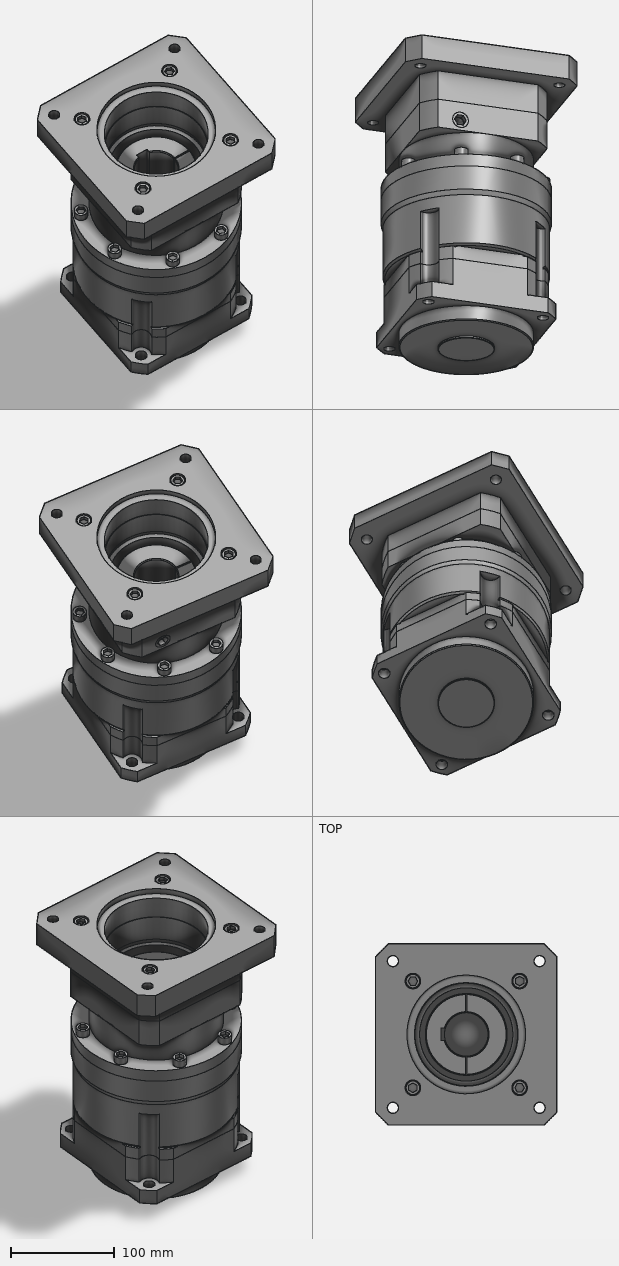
import cadquery as cq
import math


SHAFT_STICKOUT = 2.0
PILOT_HEIGHT = 15.0
FOOT_THICKNESS = 16.0
OUTPUT_JOINT_Z = 60.5
CORNER_LEDGE_Z = 73.5
RING_BOTTOM_Z = 74.5
SLOT_TOP_Z = 115.5
TAPER_BOTTOM_Z = 127.5
TAPER_TOP_Z = 132.5
INPUT_JOINT_Z = 157.0
INPUT_FLANGE_TOP_Z = 169.5
INPUT_NECK_TOP_Z = 200.0
SPACER_HEIGHT = 30.0
MOTOR_PLATE_THICKNESS = 25.0
TOTAL_HEIGHT = 284.5

PILOT_BOTTOM_Z = SHAFT_STICKOUT
FOOT_BOTTOM_Z = PILOT_BOTTOM_Z + PILOT_HEIGHT
FOOT_TOP_Z = FOOT_BOTTOM_Z + FOOT_THICKNESS
MOTOR_PLATE_BOTTOM_Z = TOTAL_HEIGHT - MOTOR_PLATE_THICKNESS
SPACER_BOTTOM_Z = MOTOR_PLATE_BOTTOM_Z - SPACER_HEIGHT

SHAFT_DIAMETER = 54.5
SHAFT_CHAMFER = 0.5
PILOT_DIAMETER = 130.0
PILOT_CHAMFER = 1.0
FOOT_WIDTH = 142.0
FOOT_CORNER_DIAMETER = 185.0
BODY_CORNER_DIAMETER = 161.0
FOOT_HOLE_CIRCLE = 165.0
FOOT_HOLE_DIAMETER = 11.0
SLOT_RADIUS = 10.0
SLOT_FLARE_ANGLE = 27.0

GEAR_RING_DIAMETER = 161.0
GEAR_RING_CHAMFER = 2.0
INPUT_FLANGE_DIAMETER = 164.5

BLOCK_WIDTH = 130.0
BLOCK_CORNER_DIAMETER = 165.0
INPUT_NECK_DIAMETER = 130.0
SPACER_BORE_DIAMETER = 99.0
INPUT_RECESS_DEPTH = 3.5
CAVITY_DIAMETER = 90.0
CAVITY_FLOOR_Z = INPUT_FLANGE_TOP_Z

SCREW_HEAD_DIAMETER = 13.0
SCREW_HEAD_HEIGHT = 8.0
SCREW_HEX_ACROSS_FLATS = 8.0
SCREW_HEX_DEPTH = 4.0
SCREW_HEX_ANGLE = 45.0
FLANGE_SCREW_COUNT = 8
FLANGE_SCREW_CIRCLE = 148.5

MOTOR_PLATE_WIDTH = 175.0
MOTOR_PLATE_CHAMFER = 12.5
MOTOR_HOLE_CIRCLE = 200.0
MOTOR_HOLE_DIAMETER = 10.5
MOTOR_PILOT_DIAMETER = 114.5
MOTOR_PILOT_DEPTH = 6.0
MOTOR_BORE_DIAMETER = 100.0
SPIGOT_DIAMETER = 110.0
SPIGOT_LENGTH = 3.5
PLATE_SCREW_CIRCLE = 145.5
COUNTERBORE_DIAMETER = 15.0
COUNTERBORE_DEPTH = 9.0

HUB_DIAMETER = 79.0
HUB_CHAMFER = 1.0
HUB_TOP_Z = 222.5
HUB_BORE_DIAMETER = 42.0
HUB_BORE_CHAMFER = 1.0
HUB_FLOOR_THICKNESS = 5.0
HUB_SLIT_WIDTH = 1.5
HUB_SLIT_DEPTH = 30.0
KEYWAY_WIDTH = 12.0
KEYWAY_REACH = 24.3
KEYWAY_DEPTH = 40.0

PLUG_DIAMETER = 16.0
PLUG_LENGTH = 12.0
PLUG_Y = 28.0
PLUG_Z = 211.0
PLUG_HEX_ACROSS_FLATS = 10.0
PLUG_HEX_DEPTH = 6.0
PLUG_CONE_DEPTH = 3.0

CORNER_ANGLES = (45, 135, 225, 315)


def cylinder(diameter, bottom_z, top_z):
    return cq.Workplane("XY").workplane(offset=bottom_z).circle(diameter / 2).extrude(top_z - bottom_z)


def square_block(width, bottom_z, top_z):
    return cq.Workplane("XY").workplane(offset=bottom_z).rect(width, width).extrude(top_z - bottom_z)


def turned_block(width, corner_diameter, bottom_z, top_z):
    """Square block whose corners are turned down to a cylinder."""
    return square_block(width, bottom_z, top_z).intersect(cylinder(corner_diameter, bottom_z, top_z))


def on_circle(shape, circle_diameter, angle):
    """Move a shape standing on the axis out along X, then swing it about the axis."""
    return shape.translate((circle_diameter / 2, 0, 0)).rotate((0, 0, 0), (0, 0, 1), angle)


def hexagon(across_flats, bottom_z, depth):
    across_corners = across_flats / math.cos(math.pi / 6)
    return cq.Workplane("XY").workplane(offset=bottom_z).polygon(6, across_corners).extrude(depth)


def screw_head(seat_z):
    top_z = seat_z + SCREW_HEAD_HEIGHT
    socket = hexagon(SCREW_HEX_ACROSS_FLATS, top_z - SCREW_HEX_DEPTH, SCREW_HEX_DEPTH)
    socket = socket.rotate((0, 0, 0), (0, 0, 1), SCREW_HEX_ANGLE)
    return cylinder(SCREW_HEAD_DIAMETER, seat_z, top_z).cut(socket)


def cut_corner_slots(body):
    """Open a vertical slot around each foot hole axis: a round back with side walls flaring outwards."""
    flare = math.radians(SLOT_FLARE_ANGLE)
    tangent_x = -SLOT_RADIUS * math.sin(flare)
    tangent_y = SLOT_RADIUS * math.cos(flare)
    mouth_x = SLOT_RADIUS
    mouth_y = tangent_y + (mouth_x - tangent_x) * math.tan(flare)
    slot = (
        cq.Workplane("XY").workplane(offset=FOOT_TOP_Z)
        .moveTo(mouth_x, -mouth_y)
        .lineTo(tangent_x, -tangent_y)
        .threePointArc((-SLOT_RADIUS, 0), (tangent_x, tangent_y))
        .lineTo(mouth_x, mouth_y)
        .close()
        .extrude(SLOT_TOP_Z - FOOT_TOP_Z)
    )
    for angle in CORNER_ANGLES:
        body = body.cut(on_circle(slot, FOOT_HOLE_CIRCLE, angle))
    return body


def make_output_shaft():
    shaft = cylinder(SHAFT_DIAMETER, 0, OUTPUT_JOINT_Z)
    return shaft.faces("<Z").chamfer(SHAFT_CHAMFER)


def make_output_housing():
    pilot = cylinder(PILOT_DIAMETER, PILOT_BOTTOM_Z, FOOT_BOTTOM_Z).faces("<Z").chamfer(PILOT_CHAMFER)
    foot = turned_block(FOOT_WIDTH, FOOT_CORNER_DIAMETER, FOOT_BOTTOM_Z, FOOT_TOP_Z)
    hole = cylinder(FOOT_HOLE_DIAMETER, FOOT_BOTTOM_Z, FOOT_TOP_Z)
    for angle in CORNER_ANGLES:
        foot = foot.cut(on_circle(hole, FOOT_HOLE_CIRCLE, angle))
    body = turned_block(FOOT_WIDTH, BODY_CORNER_DIAMETER, FOOT_TOP_Z, OUTPUT_JOINT_Z)
    housing = pilot.union(foot).union(cut_corner_slots(body))
    return housing.cut(cylinder(SHAFT_DIAMETER, 0, OUTPUT_JOINT_Z))


def make_gear_ring():
    square_end = turned_block(FOOT_WIDTH, BODY_CORNER_DIAMETER, OUTPUT_JOINT_Z, CORNER_LEDGE_Z)
    ring_radius = GEAR_RING_DIAMETER / 2
    flange_radius = INPUT_FLANGE_DIAMETER / 2
    neck = turned_block(
        FOOT_WIDTH, GEAR_RING_DIAMETER - 2 * GEAR_RING_CHAMFER, CORNER_LEDGE_Z, RING_BOTTOM_Z
    )
    round_body = (
        cq.Workplane("XZ")
        .moveTo(0, RING_BOTTOM_Z)
        .lineTo(ring_radius - GEAR_RING_CHAMFER, RING_BOTTOM_Z)
        .lineTo(ring_radius, RING_BOTTOM_Z + GEAR_RING_CHAMFER)
        .lineTo(ring_radius, TAPER_BOTTOM_Z)
        .lineTo(flange_radius, TAPER_TOP_Z)
        .lineTo(flange_radius, INPUT_JOINT_Z)
        .lineTo(0, INPUT_JOINT_Z)
        .close()
        .revolve(360, (0, 0, 0), (0, 1, 0))
    )
    return cut_corner_slots(round_body.union(neck).union(square_end))


def make_plug():
    """Round plug lying along X, flush with the -X side, with a hex socket ending in a drill cone."""
    blank = cylinder(PLUG_DIAMETER, 0, PLUG_LENGTH)
    socket = hexagon(PLUG_HEX_ACROSS_FLATS, 0, PLUG_HEX_DEPTH)
    cone = cq.Workplane(cq.Solid.makeCone(
        PLUG_HEX_ACROSS_FLATS / 2, 0, PLUG_CONE_DEPTH, cq.Vector(0, 0, PLUG_HEX_DEPTH)
    ))
    plug = blank.cut(socket).cut(cone)
    plug = plug.rotate((0, 0, 0), (0, 0, 1), 90).rotate((0, 0, 0), (0, 1, 0), 90)
    return plug.translate((-BLOCK_WIDTH / 2, PLUG_Y, PLUG_Z))


def make_input_housing():
    housing = cylinder(INPUT_FLANGE_DIAMETER, INPUT_JOINT_Z, INPUT_FLANGE_TOP_Z)
    housing = housing.union(cylinder(INPUT_NECK_DIAMETER, INPUT_FLANGE_TOP_Z, INPUT_NECK_TOP_Z))
    block = turned_block(BLOCK_WIDTH, BLOCK_CORNER_DIAMETER, INPUT_NECK_TOP_Z, SPACER_BOTTOM_Z)
    housing = housing.union(block)
    for index in range(FLANGE_SCREW_COUNT):
        angle = (index + 0.5) * 360 / FLANGE_SCREW_COUNT
        housing = housing.union(on_circle(screw_head(INPUT_FLANGE_TOP_Z), FLANGE_SCREW_CIRCLE, angle))
    recess = cylinder(SPACER_BORE_DIAMETER, SPACER_BOTTOM_Z - INPUT_RECESS_DEPTH, SPACER_BOTTOM_Z)
    cavity = cylinder(CAVITY_DIAMETER, CAVITY_FLOOR_Z, SPACER_BOTTOM_Z)
    plug_hole = (
        cq.Workplane("YZ").workplane(offset=-BLOCK_WIDTH / 2)
        .center(PLUG_Y, PLUG_Z).circle(PLUG_DIAMETER / 2).extrude(PLUG_LENGTH)
    )
    return housing.cut(recess).cut(cavity).cut(plug_hole)


def make_clamp_hub():
    hub = cylinder(HUB_DIAMETER, CAVITY_FLOOR_Z, HUB_TOP_Z).faces(">Z").chamfer(HUB_CHAMFER)
    bore = cylinder(HUB_BORE_DIAMETER, CAVITY_FLOOR_Z + HUB_FLOOR_THICKNESS, HUB_TOP_Z)
    bore_chamfer = cq.Workplane(cq.Solid.makeCone(
        HUB_BORE_DIAMETER / 2, HUB_BORE_DIAMETER / 2 + HUB_BORE_CHAMFER, HUB_BORE_CHAMFER,
        cq.Vector(0, 0, HUB_TOP_Z - HUB_BORE_CHAMFER),
    ))
    slit = (
        cq.Workplane("XY").workplane(offset=HUB_TOP_Z)
        .rect(HUB_SLIT_WIDTH, HUB_DIAMETER).extrude(-HUB_SLIT_DEPTH)
    )
    keyway = (
        cq.Workplane("XY").workplane(offset=HUB_TOP_Z)
        .center(-KEYWAY_REACH / 2, 0).rect(KEYWAY_REACH, KEYWAY_WIDTH).extrude(-KEYWAY_DEPTH)
    )
    return hub.cut(bore).cut(bore_chamfer).cut(slit).cut(keyway)


def spigot_disc():
    """Disc that centres the motor plate in the spacer, also used to cut its recess."""
    return cylinder(SPIGOT_DIAMETER, MOTOR_PLATE_BOTTOM_Z - SPIGOT_LENGTH, MOTOR_PLATE_BOTTOM_Z)


def make_spacer():
    spacer = turned_block(BLOCK_WIDTH, BLOCK_CORNER_DIAMETER, SPACER_BOTTOM_Z, MOTOR_PLATE_BOTTOM_Z)
    spacer = spacer.cut(cylinder(SPACER_BORE_DIAMETER, SPACER_BOTTOM_Z, MOTOR_PLATE_BOTTOM_Z))
    return spacer.cut(spigot_disc())


def make_motor_plate():
    plate = square_block(MOTOR_PLATE_WIDTH, MOTOR_PLATE_BOTTOM_Z, TOTAL_HEIGHT)
    plate = plate.edges("|Z").chamfer(MOTOR_PLATE_CHAMFER).union(spigot_disc())
    plate = plate.cut(cylinder(MOTOR_BORE_DIAMETER, MOTOR_PLATE_BOTTOM_Z - SPIGOT_LENGTH, TOTAL_HEIGHT))
    plate = plate.cut(cylinder(MOTOR_PILOT_DIAMETER, TOTAL_HEIGHT - MOTOR_PILOT_DEPTH, TOTAL_HEIGHT))
    seat_z = TOTAL_HEIGHT - COUNTERBORE_DEPTH
    hole = cylinder(MOTOR_HOLE_DIAMETER, MOTOR_PLATE_BOTTOM_Z, TOTAL_HEIGHT)
    counterbore = cylinder(COUNTERBORE_DIAMETER, seat_z, TOTAL_HEIGHT)
    for angle in CORNER_ANGLES:
        plate = plate.cut(on_circle(hole, MOTOR_HOLE_CIRCLE, angle))
        plate = plate.cut(on_circle(counterbore, PLATE_SCREW_CIRCLE, angle))
        plate = plate.union(on_circle(screw_head(seat_z), PLATE_SCREW_CIRCLE, angle))
    return plate


output_shaft = make_output_shaft()
output_housing = make_output_housing()
gear_ring = make_gear_ring()
input_housing = make_input_housing()
access_plug = make_plug()
clamp_hub = make_clamp_hub()
spacer = make_spacer()
motor_plate = make_motor_plate()

result = cq.Compound.makeCompound([
    output_shaft.val(),
    output_housing.val(),
    gear_ring.val(),
    input_housing.val(),
    access_plug.val(),
    clamp_hub.val(),
    spacer.val(),
    motor_plate.val(),
])